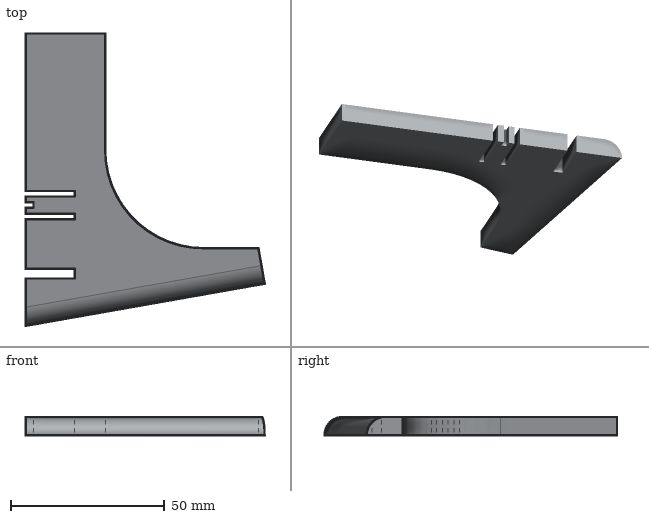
import cadquery as cq
import math

width = 78.1
length = 95.6
thickness = 6.0

arm_width = 26.0
foot_top = 25.4
corner_radius = 32.0
foot_angle = 10.0

slot_depth = 16.0
notch_depth = 2.5
narrow_slot = 1.7
slot_pitch = 3.7
first_slot_start = 34.9
wide_slot = 3.2
wide_slot_start = 15.5

slope = math.tan(math.radians(foot_angle))


def make_plate():
    """L-shaped plate with a sloping front edge and a foot end square to it."""
    tip_y = width * slope
    foot_end_x = width - (foot_top - tip_y) * slope
    arc_center = (arm_width + corner_radius, foot_top + corner_radius)
    arc_reach = corner_radius * math.sqrt(0.5)
    return (
        cq.Workplane("XY")
        .moveTo(0, 0)
        .lineTo(width, tip_y)
        .lineTo(foot_end_x, foot_top)
        .lineTo(arc_center[0], foot_top)
        .threePointArc(
            (arc_center[0] - arc_reach, arc_center[1] - arc_reach),
            (arm_width, arc_center[1]),
        )
        .lineTo(arm_width, length)
        .lineTo(0, length)
        .close()
        .extrude(thickness)
    )


def make_edge_cutter():
    """Material outside the quarter round along the sloping front edge."""
    radius = thickness
    arc_reach = radius * math.sqrt(0.5)
    overhang = width / 2
    return (
        cq.Workplane("YZ", origin=(-overhang, 0, 0))
        .moveTo(0, 0)
        .threePointArc((radius - arc_reach, arc_reach), (radius, radius))
        .lineTo(-radius, radius)
        .lineTo(-radius, 0)
        .close()
        .extrude(width + 2 * overhang)
        .rotate((0, 0, 0), (0, 0, 1), foot_angle)
    )


def make_slot(start_y, slot_width, depth):
    """Through slot running in from the left edge."""
    return cq.Workplane("XY").box(depth, slot_width, thickness, centered=False).translate((0, start_y, 0))


result = make_plate().cut(make_edge_cutter())

for index, depth in enumerate((slot_depth, notch_depth, slot_depth)):
    result = result.cut(make_slot(first_slot_start + index * slot_pitch, narrow_slot, depth))

result = result.cut(make_slot(wide_slot_start, wide_slot, slot_depth))